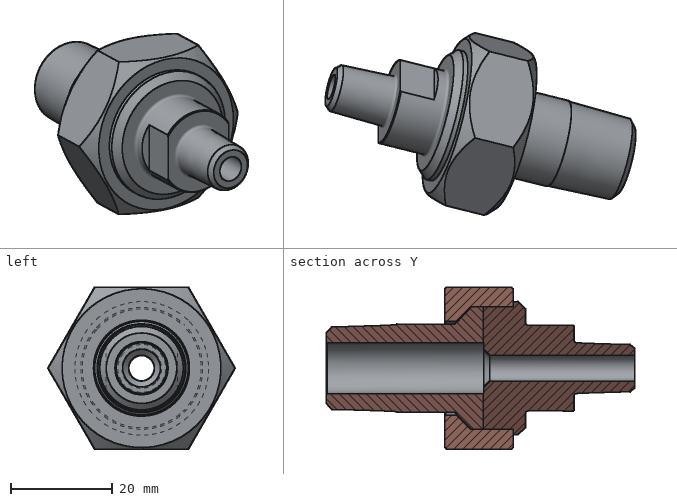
import cadquery as cq
import math

TOTAL_LENGTH = 61.0

NUT_START = 23.4
NUT_END = 36.95
NUT_ACROSS_FLATS = 32.0
NUT_ACROSS_CORNERS = NUT_ACROSS_FLATS / math.cos(math.radians(30))
NUT_FACE_DIAMETER = 31.35
NUT_BORE_DIAMETER = 18.5
NUT_BORE_CHAMFER = 0.25
NUT_BORE_LENGTH = 2.45
THREAD_DIAMETER = 24.1

TAIL_DIAMETER = 17.5
TAIL_TAPER_START_DIAMETER = 16.5
TAIL_TAPER_END_DIAMETER = 17.25
TAIL_TIP_DIAMETER = 13.9
TAIL_CHAMFER_LENGTH = 1.15
TAIL_TAPER_END = 13.95
TAIL_BORE_DIAMETER = 10.0
TAIL_BORE_CHAMFER = 0.25
TAIL_END = 31.1

FLANGE_DIAMETER = 26.4
FLANGE_RIM_LENGTH = 0.9
FLANGE_END = 39.4
FLANGE_FACE_DIAMETER = 23.5
BODY_DIAMETER = 17.0
BODY_END = 49.0
BODY_EDGE_CHAMFER = 0.2
ROOT_FILLET = 0.52
SPIGOT_ROOT_DIAMETER = 10.1
SPIGOT_TAPER_END_DIAMETER = 9.45
SPIGOT_TIP_DIAMETER = 7.85
SPIGOT_CHAMFER_LENGTH = 1.0
BODY_BORE_DIAMETER = 5.0
COUNTERSINK_DIAMETER = 7.45
COUNTERSINK_DEPTH = (COUNTERSINK_DIAMETER - BODY_BORE_DIAMETER) / 2
FLATS_WIDTH = 14.1
FLAT_SHOULDER_OUTER = 41.6
FLAT_SHOULDER_INNER = 41.95

SEAT_START = NUT_START + NUT_BORE_LENGTH
SEAT_END = SEAT_START + (THREAD_DIAMETER - NUT_BORE_DIAMETER) / 2
COLLAR_START = SEAT_START - (NUT_BORE_DIAMETER - TAIL_DIAMETER) / 2


def turned(stations):
    """Revolve a solid about X from (x, diameter) stations, closing it on the axis."""
    profile = [(x, diameter / 2) for x, diameter in stations]
    outline = [(profile[0][0], 0), *profile, (profile[-1][0], 0)]
    return cq.Workplane("XY").polyline(outline).close().revolve(360, (0, 0), (1, 0))


def make_nut():
    length = NUT_END - NUT_START
    hexagon = (
        cq.Workplane("YZ", origin=(NUT_START, 0, 0))
        .polygon(6, NUT_ACROSS_CORNERS)
        .extrude(length)
    )
    chamfer_length = (NUT_ACROSS_CORNERS - NUT_FACE_DIAMETER) / 2
    corner_chamfers = turned([
        (NUT_START, NUT_FACE_DIAMETER),
        (NUT_START + chamfer_length, NUT_ACROSS_CORNERS),
        (NUT_END - chamfer_length, NUT_ACROSS_CORNERS),
        (NUT_END, NUT_FACE_DIAMETER),
    ])
    bore = turned([
        (NUT_START, NUT_BORE_DIAMETER + 2 * NUT_BORE_CHAMFER),
        (NUT_START + NUT_BORE_CHAMFER, NUT_BORE_DIAMETER),
        (SEAT_START, NUT_BORE_DIAMETER),
        (SEAT_END, THREAD_DIAMETER),
        (NUT_END, THREAD_DIAMETER),
    ])
    return hexagon.intersect(corner_chamfers).cut(bore)


def make_tailpiece():
    outside = turned([
        (0, TAIL_TIP_DIAMETER),
        (TAIL_CHAMFER_LENGTH, TAIL_TAPER_START_DIAMETER),
        (TAIL_TAPER_END, TAIL_TAPER_END_DIAMETER),
        (TAIL_TAPER_END, TAIL_DIAMETER),
        (COLLAR_START, TAIL_DIAMETER),
        (SEAT_END, THREAD_DIAMETER),
        (TAIL_END, THREAD_DIAMETER),
    ])
    bore = turned([
        (0, TAIL_BORE_DIAMETER + 2 * TAIL_BORE_CHAMFER),
        (TAIL_BORE_CHAMFER, TAIL_BORE_DIAMETER),
        (TAIL_END, TAIL_BORE_DIAMETER),
    ])
    return outside.cut(bore)


def make_flat_cutter():
    """Prism that cuts the +Y wrench flat and its sloping shoulder."""
    flat_y = FLATS_WIDTH / 2
    body_radius = BODY_DIAMETER / 2
    return (
        cq.Workplane("XY")
        .moveTo(FLAT_SHOULDER_INNER, flat_y)
        .lineTo(FLAT_SHOULDER_OUTER, body_radius)
        .lineTo(BODY_END, body_radius)
        .lineTo(BODY_END, flat_y)
        .close()
        .extrude(body_radius, both=True)
    )


def make_body():
    spigot_radius = SPIGOT_ROOT_DIAMETER / 2
    body_radius = BODY_DIAMETER / 2
    fillet_dip = ROOT_FILLET * (1 - math.sqrt(0.5))
    outside = (
        cq.Workplane("XY")
        .moveTo(TAIL_END, 0)
        .lineTo(TAIL_END, THREAD_DIAMETER / 2)
        .lineTo(NUT_END, THREAD_DIAMETER / 2)
        .lineTo(NUT_END, FLANGE_DIAMETER / 2)
        .lineTo(NUT_END + FLANGE_RIM_LENGTH, FLANGE_DIAMETER / 2)
        .lineTo(FLANGE_END, FLANGE_FACE_DIAMETER / 2)
        .lineTo(FLANGE_END, body_radius + ROOT_FILLET)
        .threePointArc(
            (FLANGE_END + fillet_dip, body_radius + fillet_dip),
            (FLANGE_END + ROOT_FILLET, body_radius),
        )
        .lineTo(BODY_END - BODY_EDGE_CHAMFER, body_radius)
        .lineTo(BODY_END, body_radius - BODY_EDGE_CHAMFER)
        .lineTo(BODY_END, spigot_radius + ROOT_FILLET)
        .threePointArc(
            (BODY_END + fillet_dip, spigot_radius + fillet_dip),
            (BODY_END + ROOT_FILLET, spigot_radius),
        )
        .lineTo(TOTAL_LENGTH - SPIGOT_CHAMFER_LENGTH, SPIGOT_TAPER_END_DIAMETER / 2)
        .lineTo(TOTAL_LENGTH, SPIGOT_TIP_DIAMETER / 2)
        .lineTo(TOTAL_LENGTH, 0)
        .close()
        .revolve(360, (0, 0), (1, 0))
    )
    bore = turned([
        (TAIL_END, COUNTERSINK_DIAMETER),
        (TAIL_END + COUNTERSINK_DEPTH, BODY_BORE_DIAMETER),
        (TOTAL_LENGTH, BODY_BORE_DIAMETER),
    ])
    flat_cutter = make_flat_cutter()
    opposite_cutter = flat_cutter.mirror("XZ")
    return outside.cut(bore).cut(flat_cutter).cut(opposite_cutter)


nut = make_nut()
tailpiece = make_tailpiece()
body = make_body()

result = cq.Compound.makeCompound([nut.val(), tailpiece.val(), body.val()])